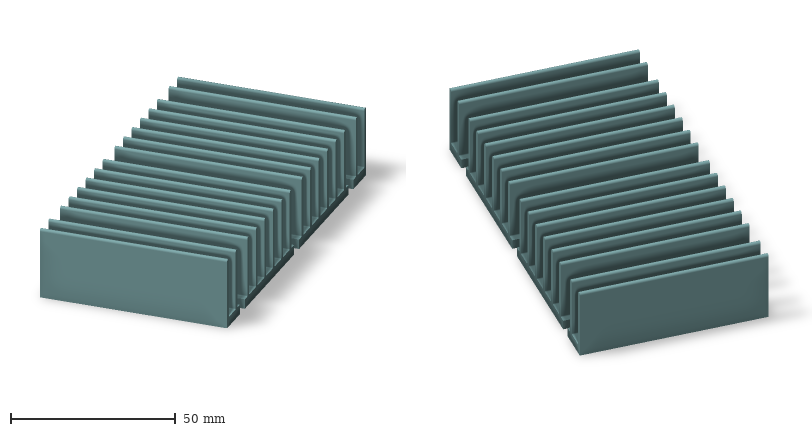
import cadquery as cq

width = 61.0
length = 116.8
height = 22.9

base_thickness = 3.2
fin_thickness = 1.5
root_fillet = 0.4
fin_pitch = 7.1
central_fin_gap = 10.0
inner_fin_count = 6
outer_fin_count = 2

slot_width = 4.1
slot_depth = 5.8

end_fin_y = (length - fin_thickness) / 2
inner_fins = [central_fin_gap / 2 + i * fin_pitch for i in range(inner_fin_count)]
outer_fins = [end_fin_y - i * fin_pitch for i in range(outer_fin_count)]
half_fins = inner_fins + outer_fins

outer_slot_y = (max(inner_fins) + min(outer_fins)) / 2


def make_base():
    return cq.Workplane("XY").box(width, length, base_thickness, centered=(True, True, False))


def make_fin(y):
    """Fin along X with a fully rounded tip, rising from the underside of the base."""
    tip_radius = fin_thickness / 2
    shoulder = height - tip_radius
    return (
        cq.Workplane("YZ", origin=(-width / 2, 0, 0))
        .moveTo(y - tip_radius, 0)
        .lineTo(y + tip_radius, 0)
        .lineTo(y + tip_radius, shoulder)
        .threePointArc((y, height), (y - tip_radius, shoulder))
        .close()
        .extrude(width)
    )


def make_slot_pair(y):
    """Cutter for two round-ended slots, one running in from each long edge."""
    edge_centers = [(-width / 2, y), (width / 2, y)]
    return (
        cq.Workplane("XY")
        .pushPoints(edge_centers)
        .slot2D(2 * slot_depth, slot_width)
        .extrude(base_thickness)
    )


def make_finned_plate():
    """Base with every fin, its inside corners rounded along the fin roots."""
    plate = make_base()
    for y in half_fins:
        plate = plate.union(make_fin(y)).union(make_fin(-y))
    root_zone = cq.selectors.BoxSelector(
        (-width, -end_fin_y, base_thickness - root_fillet),
        (width, end_fin_y, base_thickness + root_fillet),
    )
    return plate.edges("|X").edges(root_zone).fillet(root_fillet)


result = make_finned_plate()
for slot_y in (-outer_slot_y, 0, outer_slot_y):
    result = result.cut(make_slot_pair(slot_y))